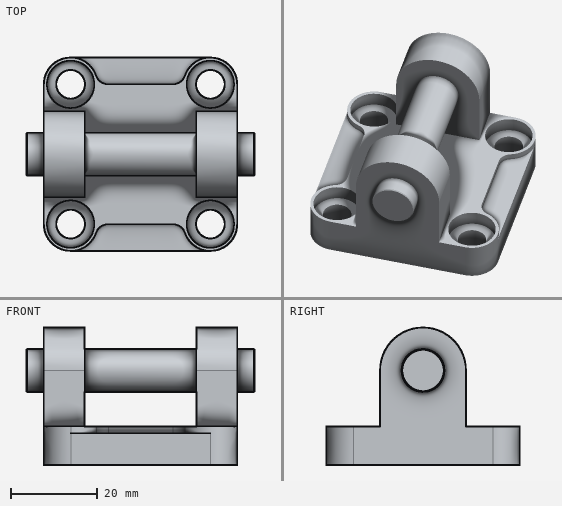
import cadquery as cq
import math

base_side = 45.0
base_thickness = 9.0
hole_spacing = 32.5
corner_radius = (base_side - hole_spacing) / 2

hole_diameter = 6.6
counterbore_diameter = 11.0
counterbore_depth = 3.5

recess_depth = 1.6
recess_fillet = 3.0

total_height = 32.0
lug_radius = 10.0
lug_thickness = 9.5
pin_height = total_height - lug_radius
pin_diameter = 10.0
pin_length = 53.0
pin_chamfer = 0.2


def make_base():
    return (
        cq.Workplane("XY")
        .rect(base_side, base_side)
        .extrude(base_thickness)
        .edges("|Z")
        .fillet(corner_radius)
    )


def make_edge_recess():
    """Cutter for the -Y edge: wraps round both bosses and blends into a straight inner side."""
    boss_x = hole_spacing / 2
    inner_y = -hole_spacing / 2
    edge_y = -base_side / 2
    blend_reach = corner_radius + recess_fillet
    blend_offset = math.sqrt(blend_reach**2 - recess_fillet**2)
    blend_x = boss_x - blend_offset
    blend_y = inner_y - recess_fillet
    tangent_angle = math.asin(recess_fillet / blend_reach)
    mid_angle = (tangent_angle + math.pi / 2) / 2

    def boss_point(angle):
        return (
            boss_x - corner_radius * math.cos(angle),
            inner_y - corner_radius * math.sin(angle),
        )

    tangent_x, tangent_y = boss_point(tangent_angle)
    boss_mid_x, boss_mid_y = boss_point(mid_angle)
    blend_mid_x = blend_x + recess_fillet * math.cos(mid_angle)
    blend_mid_y = blend_y + recess_fillet * math.sin(mid_angle)
    return (
        cq.Workplane("XY", origin=(0, 0, base_thickness - recess_depth))
        .moveTo(-boss_x, edge_y)
        .lineTo(boss_x, edge_y)
        .threePointArc((boss_mid_x, boss_mid_y), (tangent_x, tangent_y))
        .threePointArc((blend_mid_x, blend_mid_y), (blend_x, inner_y))
        .lineTo(-blend_x, inner_y)
        .threePointArc((-blend_mid_x, blend_mid_y), (-tangent_x, tangent_y))
        .threePointArc((-boss_mid_x, boss_mid_y), (-boss_x, edge_y))
        .close()
        .extrude(recess_depth)
    )


def make_hole_cutters(diameter, depth):
    """Four cylinders at the screw positions, sunk from the top of the base."""
    return (
        cq.Workplane("XY", origin=(0, 0, base_thickness - depth))
        .rect(hole_spacing, hole_spacing, forConstruction=True)
        .vertices()
        .circle(diameter / 2)
        .extrude(depth)
    )


def make_lug(start_x):
    """Round-topped lug rising from the underside of the base, extruded towards +X."""
    return (
        cq.Workplane("YZ", origin=(start_x, 0, 0))
        .moveTo(-lug_radius, 0)
        .lineTo(lug_radius, 0)
        .lineTo(lug_radius, pin_height)
        .threePointArc((0, total_height), (-lug_radius, pin_height))
        .close()
        .extrude(lug_thickness)
    )


def make_pin():
    return (
        cq.Workplane("YZ", origin=(-pin_length / 2, 0, pin_height))
        .circle(pin_diameter / 2)
        .extrude(pin_length)
        .faces("<X or >X")
        .chamfer(pin_chamfer)
    )


body = make_base()
for lug_start in (-base_side / 2, base_side / 2 - lug_thickness):
    body = body.union(make_lug(lug_start))

edge_recess = make_edge_recess()
body = body.cut(edge_recess).cut(edge_recess.mirror("XZ"))

body = body.cut(make_hole_cutters(counterbore_diameter, counterbore_depth))
body = body.cut(make_hole_cutters(hole_diameter, base_thickness))

result = body.union(make_pin())